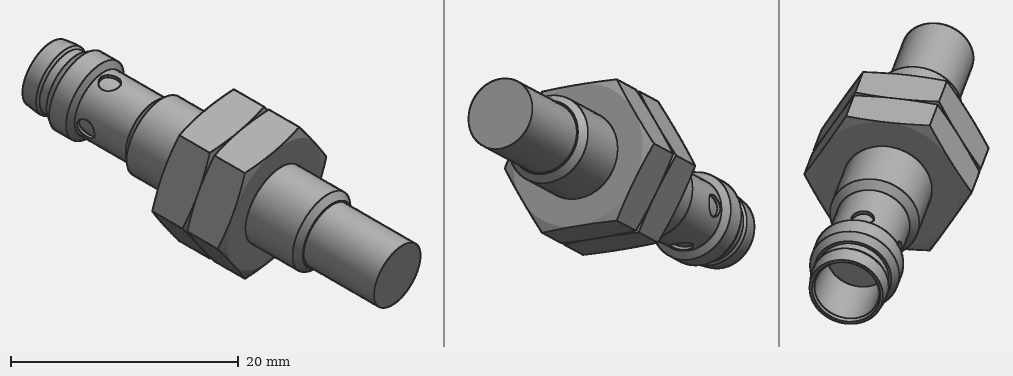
import cadquery as cq
import math

LENGTH = 40.0

RIM_DIAMETER = 6.6
BEAD_DIAMETER = 6.9
BEAD_START = 1.2
BEAD_END = 1.7
GROOVE_DIAMETER = 6.5
GROOVE_START = 1.9
GROOVE_END = 2.9

BARREL_DIAMETER = 8.0
COLLAR_FRONT_DIAMETER = 6.9
COLLAR_START = 3.65
COLLAR_END = 5.55
COLLAR_BACK_END = 5.95

NECK_DIAMETER = 6.6
NECK_END = 11.75
BARREL_END = 32.0
BARREL_END_CHAMFER = 0.65
TAIL_DIAMETER = 6.45

SOCKET_DIAMETER = 5.8
SOCKET_MOUTH_DIAMETER = 6.1
SOCKET_LEAD_IN = 0.3
SOCKET_DEPTH = 5.6

WINDOW_DIAMETER = 2.0
WINDOW_FLOOR_DIAMETER = 6.0
WINDOW_CENTER = 7.25
WINDOW_COUNT = 4

NUT_COUNT = 2
NUT_START = 18.0
NUT_THICKNESS = 4.0
NUT_ACROSS_FLATS = 13.0
NUT_ACROSS_CORNERS = NUT_ACROSS_FLATS / math.cos(math.radians(30))
NUT_CHAMFER_ANGLE = 15.0


def make_housing():
    """Turned sensor housing along X, with a socket and neck windows."""
    rim_radius = RIM_DIAMETER / 2
    bead_radius = BEAD_DIAMETER / 2
    groove_radius = GROOVE_DIAMETER / 2
    neck_radius = NECK_DIAMETER / 2
    barrel_radius = BARREL_DIAMETER / 2
    collar_front_radius = COLLAR_FRONT_DIAMETER / 2
    tail_radius = TAIL_DIAMETER / 2
    barrel_start = NECK_END + barrel_radius - neck_radius

    body = (
        cq.Workplane("XY")
        .moveTo(0, 0)
        .lineTo(0, rim_radius)
        .lineTo(BEAD_START, bead_radius)
        .lineTo(BEAD_END, bead_radius)
        .lineTo(GROOVE_START, groove_radius)
        .lineTo(GROOVE_END, groove_radius)
        .lineTo(GROOVE_END, collar_front_radius)
        .lineTo(COLLAR_START, barrel_radius)
        .lineTo(COLLAR_END, barrel_radius)
        .lineTo(COLLAR_BACK_END, neck_radius)
        .lineTo(NECK_END, neck_radius)
        .lineTo(barrel_start, barrel_radius)
        .lineTo(BARREL_END - BARREL_END_CHAMFER, barrel_radius)
        .lineTo(BARREL_END, barrel_radius - BARREL_END_CHAMFER)
        .lineTo(BARREL_END, tail_radius)
        .lineTo(LENGTH, tail_radius)
        .lineTo(LENGTH, 0)
        .close()
        .revolve(360, (0, 0, 0), (1, 0, 0))
    )

    return body.cut(make_socket()).cut(make_windows())


def make_socket():
    """Blind bore with a conical lead-in at its mouth."""
    socket_radius = SOCKET_DIAMETER / 2
    mouth_radius = SOCKET_MOUTH_DIAMETER / 2
    return (
        cq.Workplane("XY")
        .moveTo(0, 0)
        .lineTo(0, mouth_radius)
        .lineTo(SOCKET_LEAD_IN, socket_radius)
        .lineTo(SOCKET_DEPTH, socket_radius)
        .lineTo(SOCKET_DEPTH, 0)
        .close()
        .revolve(360, (0, 0, 0), (1, 0, 0))
    )


def make_windows():
    """Radial cylinders that end on a curved floor just below the neck surface."""
    window = (
        cq.Workplane("XY")
        .center(WINDOW_CENTER, 0)
        .circle(WINDOW_DIAMETER / 2)
        .extrude(NECK_DIAMETER)
    )
    windows = cq.Workplane("XY")
    for index in range(WINDOW_COUNT):
        angle = index * 360 / WINDOW_COUNT
        windows.add(window.rotate((0, 0, 0), (1, 0, 0), angle))
    floor = cq.Workplane("YZ").circle(WINDOW_FLOOR_DIAMETER / 2).extrude(LENGTH)
    return windows.combine().cut(floor)


def make_nut(start):
    """Hexagonal nut with chamfered corners and a plain bore for the barrel."""
    flat_radius = NUT_ACROSS_FLATS / 2
    corner_radius = NUT_ACROSS_CORNERS / 2
    chamfer_depth = (corner_radius - flat_radius) * math.tan(math.radians(NUT_CHAMFER_ANGLE))
    hexagon = (
        cq.Workplane("YZ", origin=(start, 0, 0))
        .polygon(6, NUT_ACROSS_CORNERS)
        .circle(BARREL_DIAMETER / 2)
        .extrude(NUT_THICKNESS)
    )
    end = start + NUT_THICKNESS
    chamfer_envelope = (
        cq.Workplane("XY")
        .moveTo(start, 0)
        .lineTo(start, flat_radius)
        .lineTo(start + chamfer_depth, corner_radius)
        .lineTo(end - chamfer_depth, corner_radius)
        .lineTo(end, flat_radius)
        .lineTo(end, 0)
        .close()
        .revolve(360, (0, 0, 0), (1, 0, 0))
    )
    return hexagon.intersect(chamfer_envelope)


housing = make_housing()
nuts = [make_nut(NUT_START + index * NUT_THICKNESS) for index in range(NUT_COUNT)]

result = cq.Compound.makeCompound([housing.val(), *[nut.val() for nut in nuts]])